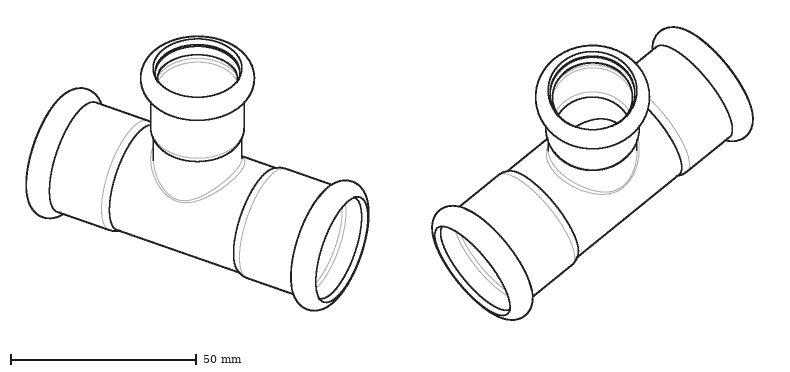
import cadquery as cq
import math

run_length = 88.2
branch_height = 47.0
wall = 1.5
bead_width = 7.3
bead_radius = bead_width / 2
lip_depth = 1.6
seat_end = 6.4
socket_start = 7.5
seal_start = 2.2
seal_end = 5.2
junction_fillet = 0.9

run_bead_d = 36.7
run_socket_d = 31.4
run_tube_d = 30.0
run_mouth_d = 30.0
run_lip_d = 28.8
run_step_start = 23.0
run_step_length = 2.1

branch_bead_d = 30.8
branch_socket_d = 25.3
branch_tube_d = 24.0
branch_mouth_d = 24.0
branch_lip_d = 22.9
branch_seal_d = 21.6
branch_step_start = 21.2
branch_step_length = 1.85


def step_middle(start, length, large_r, small_r):
    """Point halfway along an arc tangent to the larger cylinder, as (radius, depth)."""
    drop = large_r - small_r
    arc_radius = (length**2 + drop**2) / (2 * drop)
    half_angle = math.asin(length / arc_radius) / 2
    radius = large_r - arc_radius * (1 - math.cos(half_angle))
    return radius, start + arc_radius * math.sin(half_angle)


def outer_arm(length, bead_d, socket_d, tube_d, mouth_d, step_start, step_length):
    """Solid arm envelope from its mouth at Z = 0 up to Z = length."""
    socket_r = socket_d / 2
    tube_r = tube_d / 2
    bead_center_r = bead_d / 2 - bead_radius
    bead_end = bead_radius + math.sqrt(bead_radius**2 - (socket_r - bead_center_r)**2)
    step_end = step_start + step_length
    profile = (
        cq.Workplane("XZ")
        .lineTo(mouth_d / 2, 0)
        .threePointArc((bead_d / 2, bead_radius), (socket_r, bead_end))
        .lineTo(socket_r, step_start)
        .threePointArc(step_middle(step_start, step_length, socket_r, tube_r), (tube_r, step_end))
        .lineTo(tube_r, length)
        .lineTo(0, length)
        .close()
    )
    return profile.revolve(360, (0, 0, 0), (0, 1, 0))


def bore(length, socket_d, tube_d, mouth_d, lip_d, step_start, step_length):
    """Arm cavity: tapered lip, seal seat, socket bore and narrower tube bore."""
    socket_r = socket_d / 2 - wall
    tube_r = tube_d / 2 - wall
    lip_r = lip_d / 2
    step_end = step_start + step_length
    profile = (
        cq.Workplane("XZ")
        .lineTo(mouth_d / 2, 0)
        .lineTo(lip_r, lip_depth)
        .lineTo(lip_r, seat_end)
        .lineTo(socket_r, socket_start)
        .lineTo(socket_r, step_start)
        .threePointArc(step_middle(step_start, step_length, socket_r, tube_r), (tube_r, step_end))
        .lineTo(tube_r, length)
        .lineTo(0, length)
        .close()
    )
    return profile.revolve(360, (0, 0, 0), (0, 1, 0))


def seal_ring():
    """Rounded ring bulging inward from the branch seal seat, rooted in the bead."""
    seat_r = branch_lip_d / 2
    root_r = branch_socket_d / 2
    profile = (
        cq.Workplane("XZ")
        .moveTo(root_r, seal_start)
        .lineTo(seat_r, seal_start)
        .threePointArc((branch_seal_d / 2, (seal_start + seal_end) / 2), (seat_r, seal_end))
        .lineTo(root_r, seal_end)
        .close()
    )
    return profile.revolve(360, (0, 0, 0), (0, 1, 0))


def place_left(arm):
    """Turn an arm so that its mouth faces -X."""
    return arm.rotate((0, 0, 0), (0, 1, 0), 90).translate((-run_length / 2, 0, 0))


def place_up(arm):
    """Turn an arm so that its mouth faces +Z."""
    return arm.rotate((0, 0, 0), (1, 0, 0), 180).translate((0, 0, branch_height))


def both_ends(left_arm):
    return left_arm.union(left_arm.mirror("YZ"))


run_body = both_ends(place_left(outer_arm(
    run_length / 2, run_bead_d, run_socket_d, run_tube_d,
    run_mouth_d, run_step_start, run_step_length)))
branch_body = place_up(outer_arm(
    branch_height, branch_bead_d, branch_socket_d, branch_tube_d,
    branch_mouth_d, branch_step_start, branch_step_length))
body = run_body.union(branch_body)
junction_box = cq.selectors.BoxSelector(
    (-branch_tube_d, -branch_tube_d, 0), (branch_tube_d, branch_tube_d, run_tube_d / 2))
junction_edges = [
    edge for edge in body.edges(junction_box).vals()
    if edge.geomType() not in ("LINE", "CIRCLE")
]
body = body.newObject(junction_edges).fillet(junction_fillet)

run_bore = both_ends(place_left(bore(
    run_length / 2, run_socket_d, run_tube_d,
    run_mouth_d, run_lip_d, run_step_start, run_step_length)))
branch_bore = place_up(bore(
    branch_height, branch_socket_d, branch_tube_d,
    branch_mouth_d, branch_lip_d, branch_step_start, branch_step_length))

result = body.cut(run_bore).cut(branch_bore).union(place_up(seal_ring()))